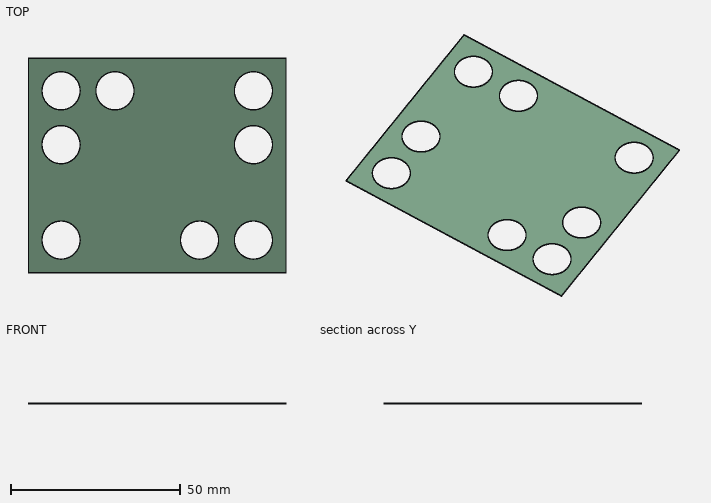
import cadquery as cq

length = 76.2
width = 63.5
thickness = 0.25

hole_diameter = 11.2
edge_distance = 9.7
hole_pitch = 15.9

outer_x = length / 2 - edge_distance
outer_y = width / 2 - edge_distance
inner_x = outer_x - hole_pitch
inner_y = outer_y - hole_pitch

corner_holes = [(sx * outer_x, sy * outer_y) for sx in (-1, 1) for sy in (-1, 1)]
side_holes = [(-outer_x, inner_y), (outer_x, inner_y)]
end_holes = [(-inner_x, outer_y), (inner_x, -outer_y)]

result = (
    cq.Workplane("XY")
    .rect(length, width)
    .pushPoints(corner_holes + side_holes + end_holes)
    .circle(hole_diameter / 2)
    .extrude(thickness)
)